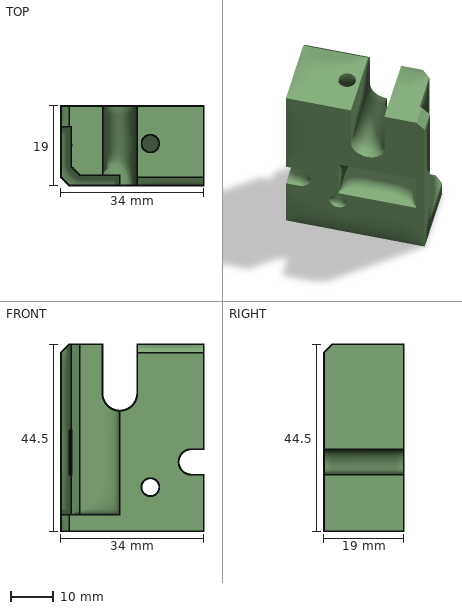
import cadquery as cq

LENGTH = 34.0
DEPTH = 19.0
HEIGHT = 44.5
CHAMFER = 2.0

BASE_HEIGHT = 4.0
LEFT_STEP = 2.5
FRONT_STEP = 2.5
FRONT_STEP_END = 14.0
LUG_FRONT = 14.0

NOTCH_WIDTH = 8.2
NOTCH_CENTER_X = FRONT_STEP_END
NOTCH_CENTER_Z = 32.8

CHAMBER_LEFT = 2.1
CHAMBER_RADIUS = 9.5
CHAMBER_CENTER_Y = 12.5
CHAMBER_FLOOR = 13.5
CHAMBER_CEILING = 24.0

SLOT_WIDTH = 6.0
SLOT_END_X = 28.0

HOLE_DIAMETER = 4.2
HOLE_X = 21.25
CROSS_HOLE_Z = 10.5
TOP_HOLE_Y = 10.0
TOP_HOLE_DEPTH = 15.0


def box_between(low, high):
    """Box spanning two opposite corners."""
    size = [b - a for a, b in zip(low, high)]
    return cq.Workplane("XY").box(*size, centered=False).translate(low)


def make_block():
    """Block with its front left, rear left top and front right top edges bevelled."""
    return box_between((0, 0, 0), (LENGTH, DEPTH, HEIGHT)).edges(
        "(<X and <Y) or (<X and >Z) or (<Y and >Z)"
    ).chamfer(CHAMFER)


def make_corner_step():
    """Material removed from the front left corner, leaving a bevelled inner corner."""
    corner = box_between((0, 0, BASE_HEIGHT), (FRONT_STEP_END, LUG_FRONT, HEIGHT))
    core = (
        box_between((LEFT_STEP, FRONT_STEP, BASE_HEIGHT), (LENGTH, DEPTH, HEIGHT))
        .edges("|Z and <X and <Y")
        .chamfer(CHAMFER)
    )
    return corner.cut(core)


def make_notch():
    """Notch through the depth: parallel sides above a half-round bottom."""
    radius = NOTCH_WIDTH / 2
    left = NOTCH_CENTER_X - radius
    right = NOTCH_CENTER_X + radius
    return (
        cq.Workplane("XZ")
        .moveTo(left, HEIGHT)
        .lineTo(left, NOTCH_CENTER_Z)
        .threePointArc((NOTCH_CENTER_X, NOTCH_CENTER_Z - radius), (right, NOTCH_CENTER_Z))
        .lineTo(right, HEIGHT)
        .close()
        .extrude(-DEPTH)
    )


def make_chamber():
    """U-shaped prism, rounded toward the front and running out of the back."""
    center_x = CHAMBER_LEFT + CHAMBER_RADIUS
    right = center_x + CHAMBER_RADIUS
    return (
        cq.Workplane("XY", origin=(0, 0, CHAMBER_FLOOR))
        .moveTo(CHAMBER_LEFT, DEPTH)
        .lineTo(CHAMBER_LEFT, CHAMBER_CENTER_Y)
        .threePointArc((center_x, CHAMBER_CENTER_Y - CHAMBER_RADIUS), (right, CHAMBER_CENTER_Y))
        .lineTo(right, DEPTH)
        .close()
        .extrude(CHAMBER_CEILING - CHAMBER_FLOOR)
    )


def make_side_slot():
    """Round-ended slot through the depth, open at the right side."""
    radius = SLOT_WIDTH / 2
    center_x = SLOT_END_X + radius
    center_z = CHAMBER_FLOOR + radius
    return (
        cq.Workplane("XZ")
        .moveTo(LENGTH, center_z + radius)
        .lineTo(center_x, center_z + radius)
        .threePointArc((SLOT_END_X, center_z), (center_x, center_z - radius))
        .lineTo(LENGTH, center_z - radius)
        .close()
        .extrude(-DEPTH)
    )


def make_cross_hole():
    """Hole through the depth, under the chamber floor."""
    return cq.Workplane("XZ").center(HOLE_X, CROSS_HOLE_Z).circle(HOLE_DIAMETER / 2).extrude(-DEPTH)


def make_top_hole():
    """Blind vertical hole from the top, ending above the chamber."""
    return (
        cq.Workplane("XY", origin=(0, 0, HEIGHT))
        .center(HOLE_X, TOP_HOLE_Y)
        .circle(HOLE_DIAMETER / 2)
        .extrude(-TOP_HOLE_DEPTH)
    )


result = (
    make_block()
    .cut(make_corner_step())
    .cut(make_chamber())
    .cut(make_notch())
    .cut(make_side_slot())
    .cut(make_cross_hole())
    .cut(make_top_hole())
)